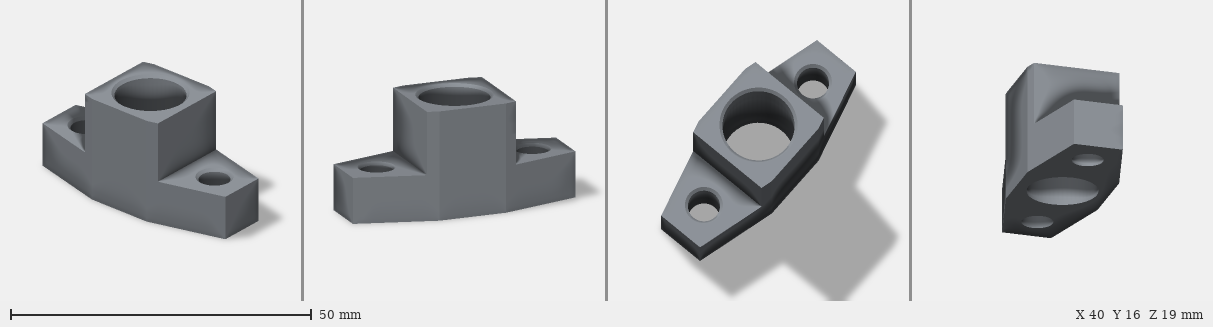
import cadquery as cq
import math

length = 40.0
width = 16.0
base_height = 8.0
flat_length = 12.0
taper_angle = 15.0

tower_length = 16.0
total_height = 19.0

bore_diameter = 12.0
bore_rim_diameter = 13.0
mount_diameter = 5.3
mount_rim_diameter = 6.3
mount_spacing = 28.0

taper_drop = (length - flat_length) / 2 * math.tan(math.radians(taper_angle))
end_width = width - 2 * taper_drop


def tapered_prism(height):
    """Long body with straight middle sides tapering to narrower flat ends."""
    end_x = length / 2
    flat_x = flat_length / 2
    end_y = end_width / 2
    side_y = width / 2
    outline = [
        (end_x, -end_y),
        (end_x, end_y),
        (flat_x, side_y),
        (-flat_x, side_y),
        (-end_x, end_y),
        (-end_x, -end_y),
        (-flat_x, -side_y),
        (flat_x, -side_y),
    ]
    return cq.Workplane("XY").polyline(outline).close().extrude(height)


def chamfered_hole(x, top, diameter, rim_diameter):
    """Cutter for a vertical through hole with a chamfered upper rim."""
    radius = diameter / 2
    rim_radius = rim_diameter / 2
    chamfer = rim_radius - radius
    profile = [(0, 0), (radius, 0), (radius, top - chamfer), (rim_radius, top), (0, top)]
    cutter = cq.Workplane("XZ").polyline(profile).close().revolve(360, (0, 0), (0, 1))
    return cutter.translate((x, 0, 0))


base = tapered_prism(base_height)
tower_limits = cq.Workplane("XY").rect(tower_length, width).extrude(total_height)
tower = tapered_prism(total_height).intersect(tower_limits)
body = base.union(tower)

result = body.cut(chamfered_hole(0, total_height, bore_diameter, bore_rim_diameter))
for side in (-1, 1):
    mount_x = side * mount_spacing / 2
    result = result.cut(chamfered_hole(mount_x, base_height, mount_diameter, mount_rim_diameter))